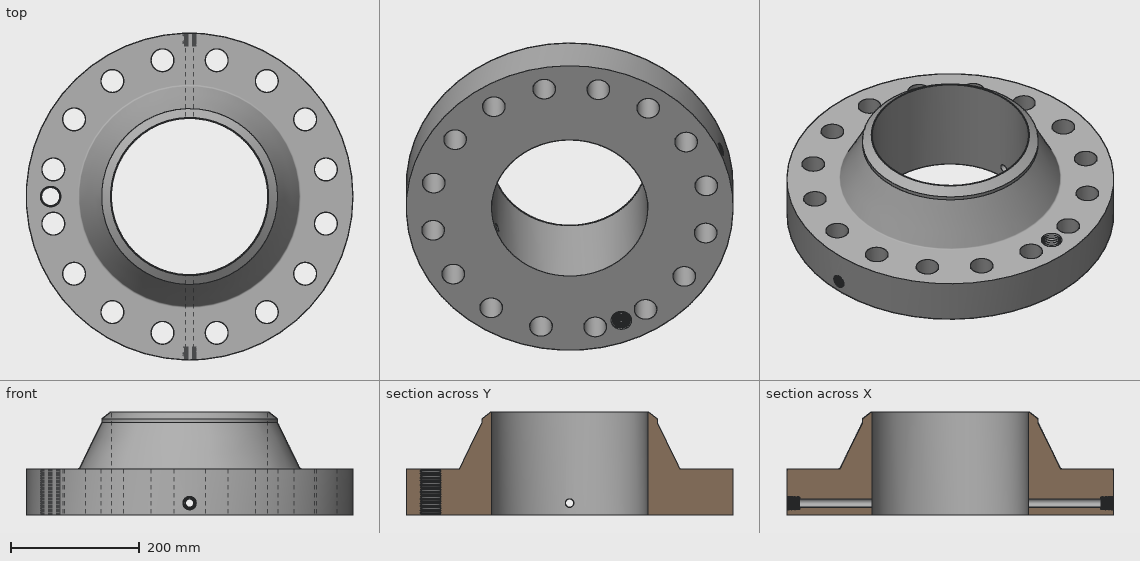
import cadquery as cq
import math


flange_dia = 508.0
flange_thickness = 72.0
total_height = 160.5
bore_dia = 243.0

hub_base_dia = 343.5
hub_base_fillet = 3.0
pipe_dia = 273.5
bevel_height = 10.5
bevel_end_land = 1.5
pipe_end_length = 17.0

bolt_count = 16
bolt_circle_dia = 432.0
bolt_hole_dia = 35.0

jack_x = -216.0
jack_major_dia = 32.0
jack_minor_dia = 28.0
jack_pitch = 3.6

tap_height = 19.0
tap_major_dia = 21.0
tap_thread_depth = 1.4
tap_thread_length = 20.0
tap_pitch = 1.85
tap_bore_dia = 12.5
tap_taper = 1 / 16

overrun = 5.0


def flange_body():
    bore_radius = bore_dia / 2
    flange_radius = flange_dia / 2
    pipe_radius = pipe_dia / 2
    body = (
        cq.Workplane("XZ")
        .moveTo(bore_radius, 0)
        .lineTo(flange_radius, 0)
        .lineTo(flange_radius, flange_thickness)
        .lineTo(hub_base_dia / 2, flange_thickness)
        .lineTo(pipe_radius, total_height - pipe_end_length)
        .lineTo(pipe_radius, total_height - bevel_height)
        .lineTo(bore_radius + bevel_end_land, total_height)
        .lineTo(bore_radius, total_height)
        .close()
        .revolve(360, (0, 0), (0, 1))
    )
    hub_foot = cq.selectors.RadiusNthSelector(-2)
    return body.edges(hub_foot).fillet(hub_base_fillet)


def bolt_holes():
    bolt_radius = bolt_circle_dia / 2
    half_step = 180 / bolt_count
    return (
        cq.Workplane("XY")
        .polarArray(bolt_radius, half_step, 360, bolt_count)
        .circle(bolt_hole_dia / 2)
        .extrude(flange_thickness)
    )


def thread_cutter(major_dia, thread_depth, pitch, length, taper=0.0):
    """Cutter along +Z from Z = 0, with one V-shaped ring per pitch.

    It starts at the full major diameter; the taper narrows it along its length.
    """
    def radius_at(z):
        return (major_dia - taper * z) / 2

    ring_count = math.ceil(length / pitch)
    end = ring_count * pitch
    profile = cq.Workplane("XZ").moveTo(0, 0).lineTo(radius_at(0), 0)
    for ring in range(ring_count):
        crest_z = (ring + 0.5) * pitch
        root_z = (ring + 1) * pitch
        profile = profile.lineTo(radius_at(crest_z) - thread_depth, crest_z)
        profile = profile.lineTo(radius_at(root_z), root_z)
    return profile.lineTo(0, end).close().revolve(360, (0, 0), (0, 1))


def jack_screw_hole():
    thread_depth = (jack_major_dia - jack_minor_dia) / 2
    cutter = thread_cutter(jack_major_dia, thread_depth, jack_pitch, flange_thickness)
    return cutter.rotate((0, 0, 0), (1, 0, 0), 180).translate((jack_x, 0, flange_thickness))


def pressure_tap():
    """Tap on the -Y side: tapered thread at the rim, then a plain hole into the bore."""
    rim = flange_dia / 2
    thread = thread_cutter(tap_major_dia, tap_thread_depth, tap_pitch, tap_thread_length, tap_taper)
    thread = thread.rotate((0, 0, 0), (1, 0, 0), -90).translate((0, -rim, tap_height))
    passage = (
        cq.Workplane("XZ", origin=(0, -rim, tap_height))
        .circle(tap_bore_dia / 2)
        .extrude(-(rim - bore_dia / 2 + overrun))
    )
    return thread.union(passage)


result = flange_body().cut(bolt_holes()).cut(jack_screw_hole())
near_tap = pressure_tap()
result = result.cut(near_tap).cut(near_tap.mirror("XZ")).solids()